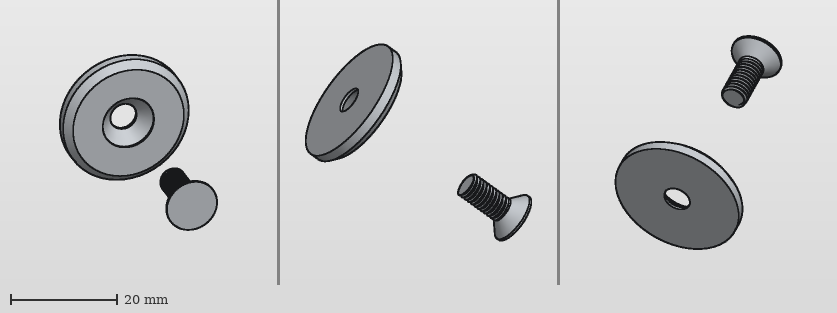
import cadquery as cq

overall_length = 41.25

washer_diameter = 25.0
washer_thickness = 3.5
washer_bevel = 1.5
hole_diameter = 5.2
countersink_diameter = 10.2
countersink_rim = 0.4

screw_length = 12.0
head_diameter = 10.0
head_rim = 0.5
shank_diameter = 5.0

ten_pitches = 8.0
thread_pitch = ten_pitches / 10
thread_root_diameter = 4.0
groove_mouth = 0.65
groove_floor = 0.15
groove_turns = 12.2
groove_lead_in = 1.5 * thread_pitch
tip_allowance = 2 * groove_lead_in
cutter_overshoot = 0.05


def revolve_about_x(profile):
    """Turn a closed (X, radius) profile about the X axis."""
    return cq.Workplane("XY").polyline(profile).close().revolve(360, (0, 0, 0), (1, 0, 0))


def make_washer():
    """Bevelled washer with a 90-degree countersink opening towards +X."""
    outer_radius = washer_diameter / 2
    hole_radius = hole_diameter / 2
    sink_radius = countersink_diameter / 2
    sink_mouth_x = washer_thickness - countersink_rim
    sink_bottom_x = sink_mouth_x - (sink_radius - hole_radius)
    return revolve_about_x([
        (0, hole_radius),
        (0, outer_radius),
        (washer_thickness - washer_bevel, outer_radius),
        (washer_thickness, outer_radius - washer_bevel),
        (washer_thickness, sink_radius),
        (sink_mouth_x, sink_radius),
        (sink_bottom_x, hole_radius),
    ])


def make_thread_groove(tip_x):
    """Right-handed helical groove cutter, ending in a plain collar below the head."""
    shank_radius = shank_diameter / 2
    root_radius = thread_root_diameter / 2
    cutter_radius = shank_radius + cutter_overshoot
    flank_slope = (groove_mouth - groove_floor) / 2 / (shank_radius - root_radius)
    half_floor = groove_floor / 2
    half_mouth = groove_mouth / 2 + cutter_overshoot * flank_slope
    helix = cq.Wire.makeHelix(thread_pitch, groove_turns * thread_pitch, root_radius)
    groove = (
        cq.Workplane("XZ")
        .polyline([
            (root_radius, -half_floor),
            (cutter_radius, -half_mouth),
            (cutter_radius, half_mouth),
            (root_radius, half_floor),
        ])
        .close()
        .sweep(cq.Workplane(obj=helix), isFrenet=True)
    )
    return groove.rotate((0, 0, 0), (0, 1, 0), 90).translate((tip_x - groove_lead_in, 0, 0))


def make_screw():
    """Countersunk screw with its head at the +X end."""
    tip_x = overall_length - screw_length
    head_radius = head_diameter / 2
    shank_radius = shank_diameter / 2
    cone_end_x = overall_length - head_rim
    cone_start_x = cone_end_x - (head_radius - shank_radius)
    blank_end_x = tip_x - tip_allowance
    blank = revolve_about_x([
        (blank_end_x, 0),
        (blank_end_x, shank_radius),
        (cone_start_x, shank_radius),
        (cone_end_x, head_radius),
        (overall_length, head_radius),
        (overall_length, 0),
    ])
    threaded = blank.cut(make_thread_groove(tip_x))
    offcut = cq.Workplane("YZ", origin=(tip_x, 0, 0)).circle(shank_diameter).extrude(-2 * tip_allowance)
    return threaded.cut(offcut)


washer = make_washer()
screw = make_screw()

result = cq.Compound.makeCompound([washer.val(), *screw.solids().vals()])